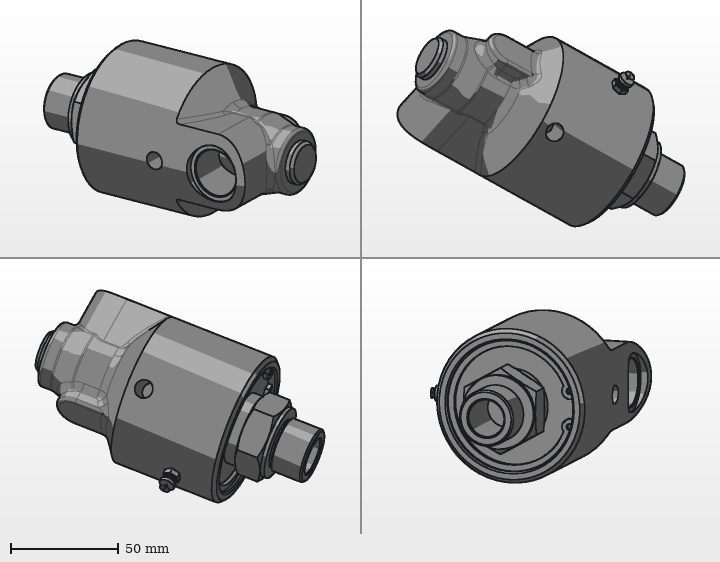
import cadquery as cq
import math


length = 138.7
thread_d = 26.5
thread_len = 15.3
thread_chamfer = 0.8
undercut_d = 24.1
collar_d = 35.0
collar_x = 17.0
hex_x0 = 19.0
hex_x1 = 32.2
hex_flats = 35.5
hex_chamfer_angle = 26
bore_d = 17.5
bore_mouth_d = 18.7
bore_depth = 27.7

body_d = 73.0
body_r = body_d / 2
body_x0 = 33.4
body_x1 = 86.8
body_chamfer = 1.8
recess_d = 62.0
recess_mouth_d = 63.6
recess_mouth_len = 0.8
ring_depth = 2.1
plate_depth = 4.2

ring_inner_d = 56.2
ring_gap = 9.5
eye_hole_d = 2.8
eye_y = 28.7
eye_z = 8.5
eye_r = 3.6

neck_r = 19.7
cone_end_x = 99.8
cone_fillet = 5.7
taper_x0 = 116.2
taper_x1 = 127.5
taper_fillet = 2.8
rear_x = 134.6
rear_r = 16.1
rear_fillet = 1.7
plug_d = 20.8
plug_chamfer_len = 1.7
plug_chamfer = 1.2

port_x = 110.7
port_d = 22.6
port_mouth_d = 23.6
port_counterbore_d = 27.7
port_counterbore_y = 33.0
port_core_d = 27.0
port_pad_r = 19.0
port_pad_fillet = 2.8
rear_pad_r = 10.0
rear_pad_y = 25.5
rear_pad_edge = 1.8
rear_pad_fillet = 4.9

drain_d = 8.6
drain_x = 78.6
drain_depth = 16.6
drain_count = 3

overrun = 1.4

edge_reach = 0.3
seam_tolerance = 0.01

nipple_x = 55.0
nipple_hex_d = 8.3
nipple_hex_turn = 25
nipple_root = 1.4
nipple_hex_y = 39.0
nipple_step_d = 6.4
nipple_step_y = 40.0
nipple_neck_d = 5.4
nipple_head_y0 = 41.6
nipple_head_y1 = 43.3
nipple_head_d = 7.5
nipple_tip_d = 4.9
nipple_tip_y = 45.6
nipple_tip_t = 0.1
nipple_stem_d = 0.4


def cylinder_x(diameter, x0, x1):
    return cq.Workplane("YZ", origin=(x0, 0, 0)).circle(diameter / 2).extrude(x1 - x0)


def cylinder_y(diameter, x, y0, y1):
    return cq.Workplane("XZ", origin=(x, y0, 0)).circle(diameter / 2).extrude(y0 - y1)


def revolve_x(points):
    """Solid of revolution about X from (x, radius) points, closed along the axis."""
    closed = [(points[0][0], 0)] + points + [(points[-1][0], 0)]
    solid = cq.Workplane("XY").polyline(closed).close().revolve(360, (0, 0), (1, 0))
    return solid.rotate((0, 0, 0), (1, 0, 0), 90)


def pad(radius, y0, y1):
    """Flat-sided pad with a round end about the port axis, running forward into the housing."""
    x0 = body_x1 - body_chamfer
    block = cq.Workplane("XY").box(port_x - x0, y1 - y0, 2 * radius, centered=(False, False, True))
    return block.translate((x0, y0, 0)).union(cylinder_y(2 * radius, port_x, y0, y1))


def round_step(shape, x, radius):
    """Round the circular edge that lies at a given place along X."""
    step = cq.selectors.BoxSelector((x - edge_reach, -body_r, -body_r), (x + edge_reach, body_r, body_r))
    return shape.edges(step).fillet(radius)


def make_housing():
    housing = revolve_x([
        (body_x0, body_r - body_chamfer),
        (body_x0 + body_chamfer, body_r),
        (body_x1, body_r),
        (cone_end_x, neck_r),
        (taper_x0, neck_r),
        (taper_x1, rear_r),
        (rear_x, rear_r),
    ])
    housing = round_step(housing, cone_end_x, cone_fillet)
    housing = round_step(housing, taper_x0, taper_fillet)
    housing = round_step(housing, taper_x1, taper_fillet)
    housing = housing.faces(">X").edges().fillet(rear_fillet)
    return housing


def blend_pad(housing, pad_solid, radius):
    """Join a pad to the housing and round the seam where their surfaces meet."""
    joined = housing.union(pad_solid)
    housing_skin = housing.val().Shells()[0]
    pad_skin = pad_solid.val().Shells()[0]
    seam = []
    for edge in joined.edges().vals():
        middle = cq.Vertex.makeVertex(*edge.positionAt(0.5).toTuple())
        on_housing = middle.distance(housing_skin) < seam_tolerance
        on_pad = middle.distance(pad_skin) < seam_tolerance
        behind_barrel = edge.BoundingBox().xmax > body_x1 + seam_tolerance
        if on_housing and on_pad and behind_barrel:
            seam.append(edge)
    return joined.newObject(seam).fillet(radius)


def make_port_pad():
    return pad(port_pad_r, -body_r, 0).intersect(cylinder_x(body_d, body_x0, length))


def make_rear_pad():
    return pad(rear_pad_r, 0, rear_pad_y).faces(">Y").edges().fillet(rear_pad_edge)


def make_plug():
    return revolve_x([
        (rear_x - rear_fillet, plug_d / 2),
        (length - plug_chamfer_len, plug_d / 2),
        (length, plug_d / 2 - plug_chamfer),
    ])


def make_shaft():
    """Threaded end, collar, wrench hexagon and the cylinder that runs on into the housing."""
    thread_r = thread_d / 2
    turned = revolve_x([
        (0, thread_r - thread_chamfer),
        (thread_chamfer, thread_r),
        (thread_len, thread_r),
        (thread_len + thread_chamfer, undercut_d / 2),
        (collar_x, undercut_d / 2),
        (collar_x, collar_d / 2),
        (body_x0 + plate_depth, collar_d / 2),
    ])
    corner_r = hex_flats / math.sqrt(3)
    nut = cq.Workplane("YZ", origin=(hex_x0, 0, 0)).polygon(6, 2 * corner_r).extrude(hex_x1 - hex_x0)
    nut = nut.rotate((0, 0, 0), (1, 0, 0), 90)
    rise = corner_r - collar_d / 2
    run = rise * math.tan(math.radians(hex_chamfer_angle))
    envelope = revolve_x([
        (hex_x0, collar_d / 2),
        (hex_x0 + run, corner_r),
        (hex_x1 - run, corner_r),
        (hex_x1, collar_d / 2),
    ])
    return turned.union(nut.intersect(envelope))


def cut_shaft_bore(shape):
    lead_in = (bore_mouth_d - bore_d) / 2
    bore = revolve_x([
        (0, bore_mouth_d / 2),
        (lead_in, bore_d / 2),
        (bore_depth, bore_d / 2),
    ])
    return shape.cut(bore)


def make_recess():
    return revolve_x([
        (body_x0, recess_mouth_d / 2),
        (body_x0 + recess_mouth_len, recess_d / 2),
        (body_x0 + plate_depth, recess_d / 2),
    ])


def make_ring():
    """Retaining ring, open on the -Y side between two eyes with holes."""
    x0 = body_x0 + ring_depth
    x1 = body_x0 + plate_depth
    thickness = x1 - x0
    ring = cylinder_x(recess_d, x0, x1).cut(cylinder_x(ring_inner_d, x0, x1))
    for side in (-1, 1):
        sheet = cq.Workplane("YZ", origin=(x0, -eye_y, side * eye_z))
        eye = sheet.circle(eye_r).extrude(thickness)
        shoulder_width = recess_d / 2 - eye_y
        shoulder = sheet.center(-shoulder_width / 2, 0).rect(shoulder_width, 2 * eye_r).extrude(thickness)
        ring = ring.union(eye.union(shoulder).intersect(cylinder_x(recess_d, x0, x1)))
    gap = cq.Workplane("YZ", origin=(x0, -recess_d / 2, 0)).rect(recess_d / 2, ring_gap).extrude(thickness)
    ring = ring.cut(gap)
    eye_holes = cq.Workplane("YZ", origin=(x0, 0, 0)).pushPoints([(-eye_y, -eye_z), (-eye_y, eye_z)])
    return ring.cut(eye_holes.circle(eye_hole_d / 2).extrude(thickness))


def make_port():
    """Stepped port from the -Y side, ending on the round core that lies along the X axis."""
    lead_in = (port_mouth_d - port_d) / 2
    profile = [
        (0, 0),
        (port_d / 2, 0),
        (port_d / 2, lead_in - port_counterbore_y),
        (port_mouth_d / 2, -port_counterbore_y),
        (port_counterbore_d / 2, -port_counterbore_y),
        (port_counterbore_d / 2, -body_r - overrun),
        (0, -body_r - overrun),
    ]
    stepped = cq.Workplane("XY", origin=(port_x, 0, 0)).polyline(profile).close()
    stepped = stepped.revolve(360, (0, 0), (0, 1))
    return stepped.cut(cylinder_x(port_core_d, body_x1, length))


def cut_drains(shape):
    for i in range(drain_count):
        angle = i * 360 / drain_count
        drain = cylinder_y(drain_d, drain_x, -body_r - overrun, -body_r + drain_depth)
        shape = shape.cut(drain.rotate((0, 0, 0), (1, 0, 0), angle))
    return shape


def make_nipple():
    root_y = body_r - nipple_root
    base = cq.Workplane("XZ", origin=(nipple_x, root_y, 0)).transformed(rotate=(0, 0, nipple_hex_turn))
    nipple = base.polygon(6, nipple_hex_d).extrude(root_y - nipple_hex_y)
    tip_y0 = nipple_tip_y - nipple_tip_t
    steps = [
        (nipple_step_d, nipple_hex_y, nipple_step_y),
        (nipple_neck_d, nipple_step_y, nipple_head_y0),
        (nipple_head_d, nipple_head_y0, nipple_head_y1),
        (nipple_stem_d, nipple_head_y1, tip_y0),
        (nipple_tip_d, tip_y0, nipple_tip_y),
    ]
    for diameter, y0, y1 in steps:
        nipple = nipple.union(cylinder_y(diameter, nipple_x, y0, y1))
    return nipple


housing = make_housing()
housing = blend_pad(housing, make_port_pad(), port_pad_fillet)
housing = blend_pad(housing, make_rear_pad(), rear_pad_fillet)
housing = housing.union(make_plug()).cut(make_recess()).cut(make_port())
housing = cut_drains(housing)
result = housing.union(make_ring()).union(make_shaft()).union(make_nipple())
result = cut_shaft_bore(result)